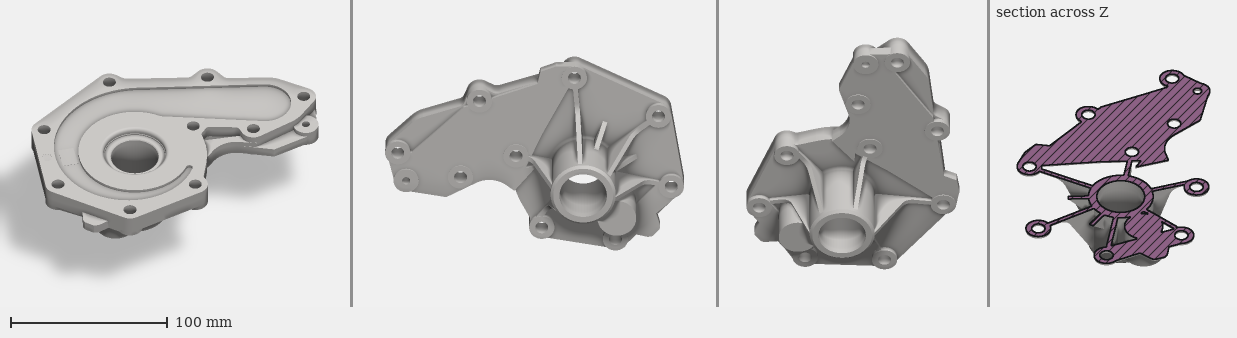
import cadquery as cq
import math


flange_bottom = -12.0
body_top = -8.3
body_bottom = -14.6
pad_bottom = -15.1
ear_top = -5.2
web_top = -4.8
ear_bottom = -15.7
tube_bottom = -53.3
boss_bottom = -36.8
channel_depth = 2.0

throat_tip = (66.0, 99.0)
throat_upper = (4.5, 81.9)
upper_left = (-46.6, 45.5)
left = (-59.5, -13.5)
lower_left = (-26.0, -51.5)
lower_right = (25.5, -47.5)
right = (48.9, -5.9)
inner = (20.0, 39.0)
throat_lower = (54.0, 57.0)
bolts = [
    throat_tip, throat_upper, upper_left, left, lower_left, lower_right, right, inner, throat_lower
]
bolt_hole_radius = 4.1
pad_radius = 8.1
tip_radius = 8.0
body_inset = 0.5

ear_center = (77.8, 82.5)
ear_radius = 8.1
ear_hole_radius = 2.5

web_corner = (40.0, 24.1)
throat_notch = (57.6, 30.3, -17.5)

tube_radius = 20.8
tube_chamfer = 1.7
bore_radius = 15.1
bore_chamfer = 0.5
seat_radius = 19.5
relief_radius = 20.0
mouth_radius = 22.2
relief_depth = 3.8
seat_depth = 4.6

island_radius = 36.0
spiral_start_radius = 40.8
spiral_pitch = 25.8
spiral_start = 8
spiral_end = 243
throat_center = (47.8, 81.0)
throat_radius = 16.9
island_exit = (-2.4, math.sqrt(island_radius**2 - 2.4**2))

rib_thickness = 3.1
rib_foot = -49.5
rib_blend = 5.2
rib_end = 46.5
long_rib_reach = 41.0
steep_rib_reach = 34.0
front_rib_angle = 301.5
side_rib_angle = 0
short_rib_foot = -25.5
short_rib_reach = 35.3
root_fillet = 1.9

boss_center = (5.2, -32.0)
boss_radius = 12.4

mark_height = 0.2
mark_center = (-44.7, -34.2)
mark_radius = 3.3
label_center = (-34.5, -25.1)
label_size = (10.0, 14.6)
label_angle = 44


def polar(radius, degrees):
    angle = math.radians(degrees)
    return (radius * math.cos(angle), radius * math.sin(angle))


def tangent(first, second):
    """Ends of the straight run between two pins (x, y, radius).

    A counterclockwise outline turns left round a positive radius and right round a negative one.
    """
    x1, y1, r1 = first
    x2, y2, r2 = second
    span = math.hypot(x2 - x1, y2 - y1)
    normal = math.atan2(y2 - y1, x2 - x1) - math.acos((r1 - r2) / span)
    ux, uy = math.cos(normal), math.sin(normal)
    return (x1 + r1 * ux, y1 + r1 * uy), (x2 + r2 * ux, y2 + r2 * uy)


def arc_middle(pin, start, end):
    """Point halfway along the outline's arc round a pin."""
    x, y, radius = pin
    begin = math.atan2(start[1] - y, start[0] - x)
    sweep = math.atan2(end[1] - y, end[0] - x) - begin
    turn = math.copysign(1, radius)
    middle = begin + turn * ((turn * sweep) % math.tau) / 2
    return (x + abs(radius) * math.cos(middle), y + abs(radius) * math.sin(middle))


def belt(pins, top, bottom):
    """Slab whose outline runs like a belt, counterclockwise, round a list of pins."""
    runs = [tangent(pin, pins[(i + 1) % len(pins)]) for i, pin in enumerate(pins)]
    outline = cq.Workplane("XY").workplane(offset=bottom).moveTo(*runs[-1][1])
    for i, pin in enumerate(pins):
        arrival = runs[i - 1][1]
        departure, next_arrival = runs[i]
        if pin[2]:
            outline = outline.threePointArc(arc_middle(pin, arrival, departure), departure)
        outline = outline.lineTo(*next_arrival)
    return outline.close().extrude(top - bottom)


def cylinder(center, radius, top, bottom):
    return cq.Workplane("XY").workplane(offset=bottom).center(*center).circle(radius).extrude(top - bottom)


def make_flange():
    pins = [
        (*left, pad_radius),
        (*lower_left, pad_radius),
        (*lower_right, pad_radius),
        (*right, pad_radius),
        (51.8, 4.6, -2.5),
        (-0.9, -5.0, 49.5),
        (30.6, 36.8, -2.5),
        (30.6, 41.5, -2.5),
        (45.0, 48.7, -3.6),
        (*throat_lower, pad_radius),
        (52.5, 84.3, 21.2),
        (*throat_tip, tip_radius),
        (47.1, 86.5, 18.0),
        (14.1, 91.9, -4.3),
        (*throat_upper, pad_radius),
        (-9.6, 79.0, -5.2),
        (-42.3, 61.3, -8.1),
        (*upper_left, tip_radius),
    ]
    return belt(pins, 0, flange_bottom)


def make_throat_body():
    """Thicker body under the throat, with the ear bracket and the upper left tab."""
    pins = [
        (*island_exit, 0),
        (*web_corner, 0),
        throat_notch,
        (69.9, 56.1, 1.5),
        (*ear_center, ear_radius - body_inset),
        (72.8, 101.5, 0),
        (*throat_tip, 0),
        (60.2, 92.0, 0),
        (46.5, 90.3, 0),
        (14.6, 86.7, 0),
        (-28.2, 61.0, 0),
        (-36.1, 64.9, 0),
        (-45.5, 59.5, 0),
        (-46.5, 58.2, 0),
        (-53.2, 50.5, 0),
        (*upper_left, 0),
    ]
    ear = cylinder(ear_center, ear_radius, ear_top, ear_bottom)
    return belt(pins, body_top, body_bottom).union(ear)


def make_web():
    """Web that fills the notch between the throat and the round part of the flange."""
    pins = [
        (17.2, 24.1, 0),
        (*web_corner, 0),
        throat_notch,
        (60.2, 50.8, 0),
        (*throat_lower, 0),
    ]
    return belt(pins, web_top, body_bottom)


def make_lower_tab():
    """Tab on the lower edge, on a bar that joins the two lower bolt pads."""
    pins = [
        (*lower_left, pad_radius - body_inset),
        (-5.0, -56.1, 0),
        (0.3, -63.8, 0),
        (2.4, -65.0, 0),
        (9.0, -64.7, 0),
        (11.4, -62.6, 0),
        (14.6, -56.0, 0),
        (*lower_right, pad_radius - body_inset),
    ]
    return belt(pins, body_top, body_bottom)


def make_tube():
    """Bearing tube with a chamfered end and a fillet where it meets the flange."""
    tube = cylinder((0, 0), tube_radius, flange_bottom, tube_bottom).faces("<Z").chamfer(tube_chamfer)
    root_bottom = flange_bottom - root_fillet
    hollow = root_fillet * (1 - math.sqrt(0.5))
    root = (
        cq.Workplane("XZ")
        .moveTo(bore_radius, flange_bottom)
        .lineTo(tube_radius + root_fillet, flange_bottom)
        .threePointArc((tube_radius + hollow, flange_bottom - hollow), (tube_radius, root_bottom))
        .lineTo(bore_radius, root_bottom)
        .close()
        .revolve(360, (0, 0), (0, 1))
    )
    return tube.union(root)


def make_rib(degrees, profile):
    """Rib made from an outline of radius and height, turned to an angle round the tube."""
    rib = profile.close().extrude(rib_thickness / 2, both=True)
    return rib.rotate((0, 0, 0), (0, 0, 1), degrees)


def tall_rib(degrees, reach, end):
    """Rib that slopes up along the tube and runs on below the flange out to a given radius."""
    root = (tube_radius + bore_radius) / 2
    slope = math.atan2(body_bottom - rib_foot, reach - tube_radius)
    blend_start = (reach - rib_blend * math.cos(slope), body_bottom - rib_blend * math.sin(slope))
    profile = (
        cq.Workplane("XZ")
        .moveTo(root, body_top)
        .lineTo(root, rib_foot)
        .lineTo(tube_radius, rib_foot)
        .lineTo(*blend_start)
        .tangentArcPoint((reach + rib_blend, body_bottom), relative=False)
        .lineTo(end, body_bottom)
        .lineTo(end, body_top)
    )
    return make_rib(degrees, profile)


def short_rib(degrees):
    """Straight gusset in the corner between the tube and the flange."""
    root = (tube_radius + bore_radius) / 2
    corners = [
        (root, flange_bottom),
        (root, short_rib_foot),
        (tube_radius, short_rib_foot),
        (short_rib_reach, flange_bottom),
    ]
    return make_rib(degrees, cq.Workplane("XZ").polyline(corners))


def bearing(point):
    return math.degrees(math.atan2(point[1], point[0])) % 360


def make_ribs():
    ribs = tall_rib(bearing(inner), steep_rib_reach, rib_end)
    ribs = ribs.union(tall_rib(front_rib_angle, steep_rib_reach, rib_end))
    ribs = ribs.union(tall_rib(side_rib_angle, steep_rib_reach, rib_end))
    for bolt in (upper_left, left, lower_left):
        ribs = ribs.union(tall_rib(bearing(bolt), long_rib_reach, math.hypot(*bolt)))
    for before, after in ((upper_left, left), (left, lower_left)):
        ribs = ribs.union(short_rib((bearing(before) + bearing(after)) / 2))
    return ribs


def spiral_point(turned):
    """Point of the channel's outer wall, by degrees turned clockwise from +X."""
    return polar(spiral_start_radius + spiral_pitch * turned / 360, -turned)


def make_channel():
    throat = (*throat_center, throat_radius)
    island_start = polar(island_radius, spiral_start)
    slot_start = spiral_point(-spiral_start)
    slot_width = math.dist(island_start, slot_start)
    slot_tip = polar(math.hypot(*island_start) + slot_width / 2, spiral_start)
    tip_turn = math.radians(spiral_start)
    slot_end = (
        slot_tip[0] - slot_width / 2 * math.sin(tip_turn),
        slot_tip[1] + slot_width / 2 * math.cos(tip_turn),
    )
    spiral = [spiral_point(-spiral_start + 15 * i) for i in range(1, 17)]
    spiral.append(spiral_point(spiral_end))
    lower_wall = tangent((*island_exit, 0), throat)[1]
    upper_wall = tangent(throat, (*spiral[-1], 0))[0]
    outline = (
        cq.Workplane("XY")
        .moveTo(*island_start)
        .threePointArc(slot_end, slot_start)
        .spline(spiral, includeCurrent=True)
        .lineTo(*upper_wall)
        .threePointArc(arc_middle(throat, lower_wall, upper_wall), lower_wall)
        .lineTo(*island_exit)
        .threePointArc((0, -island_radius), island_start)
        .close()
    )
    return outline.extrude(-channel_depth)


def make_bore():
    """Through bore with a stepped seat and a rounded mouth."""
    mouth_fillet = mouth_radius - relief_radius
    hollow = mouth_fillet * (1 - math.sqrt(0.5))
    profile = (
        cq.Workplane("XZ")
        .lineTo(mouth_radius, 0)
        .threePointArc((relief_radius + hollow, -hollow), (relief_radius, -mouth_fillet))
        .lineTo(relief_radius, -relief_depth)
        .lineTo(seat_radius, -relief_depth)
        .lineTo(seat_radius, -seat_depth)
        .lineTo(bore_radius + bore_chamfer, -seat_depth)
        .lineTo(bore_radius, -seat_depth - bore_chamfer)
        .lineTo(bore_radius, tube_bottom)
        .lineTo(0, tube_bottom)
        .close()
    )
    return profile.revolve(360, (0, 0), (0, 1))


def make_label():
    """Low rectangular plate on the channel floor."""
    plate = cq.Workplane("XY").rect(*label_size).extrude(2 * mark_height)
    plate = plate.rotate((0, 0, 0), (0, 0, 1), label_angle)
    return plate.translate((*label_center, -channel_depth - mark_height))


cover = make_flange().union(make_throat_body()).union(make_web()).union(make_lower_tab())
for bolt in bolts:
    cover = cover.union(cylinder(bolt, pad_radius, flange_bottom, pad_bottom))
cover = cover.union(cylinder(boss_center, boss_radius, body_top, boss_bottom))
cover = cover.union(make_tube()).union(make_ribs())

cover = cover.cut(make_channel()).union(make_label())
cover = cover.cut(make_bore())
for bolt in bolts:
    cover = cover.cut(cylinder(bolt, bolt_hole_radius, 0, pad_bottom))
cover = cover.cut(cylinder(ear_center, ear_hole_radius, ear_top, ear_bottom))
cover = cover.cut(cylinder(mark_center, mark_radius, 0, -mark_height))

result = cover